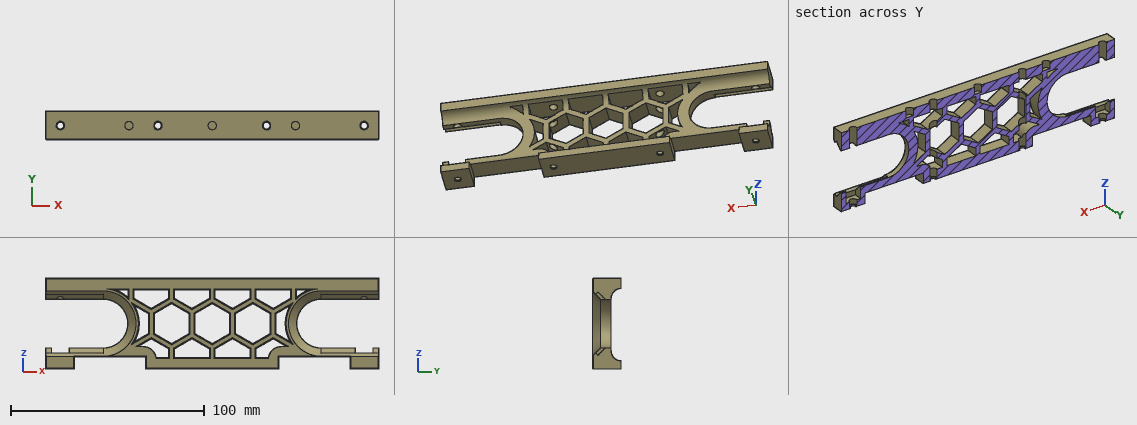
import cadquery as cq
import math

length = 172.0
thickness = 15.0
height = 47.0
front = -thickness / 2
back = thickness / 2

foot_rise = 6.2
end_foot_length = 15.0
center_foot_half = 34.4
edge_chamfer = 0.5

slot_radius = 12.5
slot_flare = 4.3
flare_angle = 45
slot_center_x = 56.2
slot_center_z = height / 2
slot_overrun = 8.6

groove_lip = 1.7
groove_depth = 1.7

recess_depth = 5.2
recess_bottom = 4.3
recess_top = 41.6

rim = 5.5
cell_pitch = 21.0
strut_width = 2.0
cell_chamfer = 0.5
shoulder_radius = 6.9
row_pitch = cell_pitch * math.sqrt(3) / 2
cell_flat = cell_pitch - strut_width

hole_diameter = 4.3
exit_diameter = 3.5
exit_depth = 1.0
blind_hole_depth = 4.3
blind_hole_positions = (-43.0, 0.0, 43.0)
inner_hole_x = 28.0
end_hole_x = 78.4
nut_pocket_width = 9.0
nut_pocket_floor = 4.1


def from_front(depth=0.0):
    """Plane parallel to the front face, normal into the part; its local x runs along -X."""
    return cq.Workplane(cq.Plane((0, front + depth, 0), xDir=(-1, 0, 0), normal=(0, 1, 0)))


def both_ends(solid):
    """The solid together with its mirror image at the other end of the rail."""
    return solid.union(solid.mirror("YZ"))


def slot(radius, depth, taper=0):
    """End slot with its round nose facing the middle of the rail, at both ends."""
    tail_x = length / 2 + slot_overrun
    outline = (
        from_front()
        .moveTo(tail_x, slot_center_z - radius)
        .lineTo(slot_center_x, slot_center_z - radius)
        .threePointArc(
            (slot_center_x - radius, slot_center_z),
            (slot_center_x, slot_center_z + radius),
        )
        .lineTo(tail_x, slot_center_z + radius)
        .close()
    )
    return both_ends(outline.extrude(depth, taper=taper))


def make_blank():
    """Rail outline standing on its feet, chamfered around the front face."""
    blank = cq.Workplane("XY").box(length, thickness, height, centered=(True, True, False))
    gap_start = center_foot_half
    gap_length = length / 2 - end_foot_length - gap_start
    gap = (
        cq.Workplane("XY")
        .box(gap_length, thickness, foot_rise, centered=(False, True, False))
        .translate((gap_start, 0, 0))
    )
    blank = blank.cut(both_ends(gap))
    return blank.faces("<Y").edges().chamfer(edge_chamfer)


def make_back_recess():
    """Channel along the back face with rounded inner corners."""
    recess_height = recess_top - recess_bottom
    return (
        cq.Workplane("XY")
        .box(length, 2 * recess_depth, recess_height, centered=(True, True, False))
        .translate((0, back, recess_bottom))
        .faces("<Y")
        .edges("|X")
        .fillet(recess_depth)
    )


def make_grooves():
    """Shallow channels in the flared arm faces, leaving a lip along the front edge."""
    flare_bottom = slot_center_z - slot_radius - slot_flare
    lip = (front + groove_lip, flare_bottom + groove_lip)
    shift = groove_depth / math.sqrt(2)
    reach = slot_flare + shift
    floor_start = (lip[0] + shift, lip[1] - shift)
    floor_end = (floor_start[0] + reach, floor_start[1] + reach)
    groove = (
        cq.Workplane("YZ", origin=(slot_center_x, 0, 0))
        .polyline([lip, floor_start, floor_end, (lip[0], floor_end[1])])
        .close()
        .extrude(length / 2 - slot_center_x)
    )
    lower = both_ends(groove)
    return lower.union(lower.mirror("XY", (0, 0, slot_center_z)))


def make_openings(inset, depth, taper):
    """Honeycomb cells trimmed to a rim around the slots and the outer outline."""
    corner_diameter = (cell_flat - 2 * inset) / math.cos(math.pi / 6)
    cell = (
        from_front()
        .transformed(rotate=(0, 0, 90))
        .polygon(6, corner_diameter)
        .extrude(depth, taper=taper)
    )
    cells = cq.Workplane("XY")
    for row in (-1, 0, 1):
        columns = 6 if row else 7
        for column in range(columns):
            x = (column - (columns - 1) / 2) * cell_pitch
            cells = cells.union(cell.translate((x, 0, slot_center_z + row * row_pitch)))

    band = (
        from_front()
        .center(0, height / 2)
        .rect(length - 2 * inset, height - 2 * (rim + inset))
        .extrude(depth, taper=taper)
    )
    shoulder_start = center_foot_half - rim
    shoulder = (
        cq.Workplane("XY")
        .box(length / 2 - shoulder_start, thickness, foot_rise + rim, centered=(False, True, False))
        .translate((shoulder_start, 0, 0))
        .edges("|Y and <X and >Z")
        .fillet(shoulder_radius)
    )
    slot_rims = slot(slot_radius + rim + inset, depth, -taper)
    return cells.intersect(band).cut(both_ends(shoulder)).cut(slot_rims)


def hole(x, bottom):
    """Hole of the main diameter, open at the top of the rail."""
    return cq.Workplane("XY", origin=(x, 0, bottom)).circle(hole_diameter / 2).extrude(height - bottom)


def through_hole(x):
    """Hole through the whole rail, narrowed where it leaves the underside."""
    exit_bore = cq.Workplane("XY", origin=(x, 0, 0)).circle(exit_diameter / 2).extrude(exit_depth)
    return hole(x, exit_depth).union(exit_bore)


def make_nut_pocket():
    """Square pocket in the lower arm above an end foot."""
    return (
        cq.Workplane("XY", origin=(end_hole_x, 0, nut_pocket_floor))
        .rect(nut_pocket_width, nut_pocket_width)
        .extrude(slot_center_z - nut_pocket_floor)
    )


result = (
    make_blank()
    .cut(slot(slot_radius, thickness))
    .cut(slot(slot_radius + slot_flare, slot_flare, flare_angle))
    .cut(make_back_recess())
    .cut(make_grooves())
    .cut(make_openings(cell_chamfer, thickness, 0))
    .cut(make_openings(0, cell_chamfer, flare_angle))
    .cut(both_ends(make_nut_pocket()))
    .cut(both_ends(through_hole(inner_hole_x)))
    .cut(both_ends(through_hole(end_hole_x)))
)
for hole_x in blind_hole_positions:
    result = result.cut(hole(hole_x, height - blind_hole_depth))